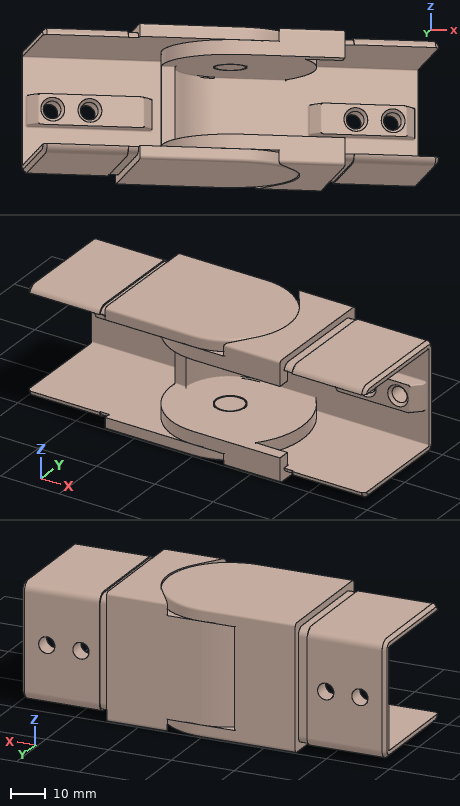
import cadquery as cq
import math

length = 116.0
block_size = 40.0
block_end = 30.0
block_fillet = 1.0
knuckle_radius = block_size / 2

sleeve_size = 36.8
sleeve_radius = 3.0
sleeve_end_chamfer = 1.0
neck_depth = 0.5
neck_length = 3.0

cavity_half = 16.0
corner_radius = 0.5

fork_half_gap = 11.7
fork_plate_reach = 24.9
fork_corner_radius = 0.3
fork_wall_angle = 4.4
relief_corner = 10.7

pin_radius = 4.9
pin_chamfer = 0.3
pin_embed = 2.1

boss_height = 4.1
boss_half_width = 4.5
boss_chamfer = 2.9
boss_patch_depth = 1.2
boss_fillet = 0.6
boss_edge_fillet = 0.5
boss_outer_end = 56.8
outer_boss_inner_end = 20.2
inner_boss_inner_end = 26.0
hole_diameter = 5.1
sink_diameter = 7.0
hole_places = (39.0, 49.9)

half_block = block_size / 2
half_length = length / 2
clear = block_size
boss_top = cavity_half - boss_height
pin_end = cavity_half + pin_embed


def box_between(x_min, x_max, y_min, y_max, z_min, z_max):
    """Box given by its limits along each axis."""
    size = (x_max - x_min, y_max - y_min, z_max - z_min)
    return cq.Workplane("XY").box(*size, centered=False).translate((x_min, y_min, z_min))


def disc(radius, half_height):
    """Cylinder on the hinge axis, centred on the mid plane."""
    return cq.Workplane("XY").circle(radius).extrude(half_height, both=True)


def mirror_x(shape):
    """Copy of a shape on the other side of the hinge axis."""
    return shape.mirror("YZ")


def sleeve():
    """Solid sleeve with its neck, on the +X side."""
    body_start = block_end + neck_length
    neck_size = sleeve_size - 2 * neck_depth
    body = (
        cq.Workplane("YZ", origin=(body_start, 0, 0))
        .rect(sleeve_size, sleeve_size)
        .extrude(half_length - body_start)
        .edges("|X")
        .fillet(sleeve_radius)
        .faces(">X")
        .chamfer(sleeve_end_chamfer)
    )
    neck = (
        cq.Workplane("YZ", origin=(block_end, 0, 0))
        .rect(neck_size, neck_size)
        .extrude(neck_length)
        .edges("|X")
        .fillet(sleeve_radius - neck_depth)
    )
    return body.union(neck)


def open_channel(x_min, x_max):
    """Cutting tool for a channel that is open towards -Y."""
    tool = box_between(x_min, x_max, -clear, cavity_half, -cavity_half, cavity_half)
    return tool.edges("|X and >Y").fillet(corner_radius)


def relief(z_min, z_max):
    """Cutting tool around the knuckle, widened along tangents that clear the swing."""
    tangent_angle = 2 * math.atan2(knuckle_radius, relief_corner) - math.pi / 2
    touch_x = knuckle_radius * math.cos(tangent_angle)
    touch_y = knuckle_radius * math.sin(tangent_angle)
    return (
        cq.Workplane("XY", origin=(0, 0, z_min))
        .moveTo(-clear, -half_block)
        .lineTo(relief_corner, -half_block)
        .lineTo(touch_x, -touch_y)
        .threePointArc((knuckle_radius, 0), (touch_x, touch_y))
        .lineTo(relief_corner, half_block)
        .lineTo(-clear, half_block)
        .close()
        .extrude(z_max - z_min)
    )


def boss(inner_end):
    """Screw boss on the back wall of the +X side, with a fillet around its foot."""
    margin = 2 * boss_fillet
    wall_patch = box_between(
        inner_end - margin, boss_outer_end + margin,
        cavity_half, cavity_half + boss_patch_depth,
        -boss_half_width - margin, boss_half_width + margin,
    )
    block = box_between(
        inner_end, boss_outer_end, boss_top, cavity_half, -boss_half_width, boss_half_width
    )
    block = block.edges("<Y and |Z").chamfer(boss_chamfer)
    block = block.edges("not (>Y or |X)").fillet(boss_edge_fillet)
    foot = cq.selectors.BoxSelector(
        (inner_end - boss_fillet, cavity_half - boss_fillet, -boss_half_width - boss_fillet),
        (boss_outer_end + boss_fillet, cavity_half + boss_fillet, boss_half_width + boss_fillet),
        boundingbox=True,
    )
    return wall_patch.union(block).edges(foot).fillet(boss_fillet)


def screw_holes():
    """Countersunk holes through the boss and the back wall of the +X side."""
    sink_depth = (sink_diameter - hole_diameter) / 2
    into_wall = cq.Vector(0, 1, 0)
    tools = cq.Workplane("XY")
    for x in hole_places:
        start = cq.Vector(x, boss_top, 0)
        drill = cq.Solid.makeCylinder(hole_diameter / 2, clear, start, into_wall)
        sink = cq.Solid.makeCone(sink_diameter / 2, hole_diameter / 2, sink_depth, start, into_wall)
        tools = tools.add(drill.fuse(sink))
    return tools.combine()


def pin_bores():
    """Cutting tool for both pin bores: through the fork plates and blind into the covers."""
    return disc(pin_radius, pin_end).cut(disc(pin_radius, fork_half_gap))


def outer_half():
    """Half on the -X side, with the two rounded cover plates."""
    block = (
        cq.Workplane("XY", origin=(0, 0, -half_block))
        .moveTo(0, half_block)
        .lineTo(-block_end, half_block)
        .lineTo(-block_end, -half_block)
        .lineTo(0, -half_block)
        .threePointArc((knuckle_radius, 0), (0, half_block))
        .close()
        .extrude(block_size)
        .faces("<Z or >Z")
        .edges("not <X")
        .fillet(block_fillet)
    )
    half = block.union(mirror_x(sleeve()))
    half = half.cut(open_channel(-length, length))
    half = half.cut(mirror_x(relief(-cavity_half, cavity_half)))
    half = half.union(mirror_x(boss(outer_boss_inner_end)))
    half = half.cut(mirror_x(screw_holes()))
    return half.cut(pin_bores())


def fork_opening():
    """Cutting tool between the fork plates, with rounded corners along the curved wall."""
    angle = math.radians(fork_wall_angle)
    wall_x = -cavity_half * math.cos(angle)
    wall_y = cavity_half * math.sin(angle)
    middle = cavity_half * math.sqrt(0.5)
    return (
        cq.Workplane("XY", origin=(0, 0, -fork_half_gap))
        .moveTo(-clear, clear * math.tan(angle))
        .lineTo(wall_x, wall_y)
        .threePointArc((-middle, middle), (0, cavity_half))
        .lineTo(clear, cavity_half)
        .lineTo(clear, -clear)
        .lineTo(-clear, -clear)
        .close()
        .extrude(2 * fork_half_gap)
        .faces("<Z or >Z")
        .fillet(fork_corner_radius)
    )


def inner_half():
    """Half on the +X side, with the forked knuckle between the cover plates."""
    block = box_between(0, block_end, -half_block, half_block, -half_block, half_block)
    block = block.edges("|X").fillet(block_fillet)
    block = block.cut(relief(cavity_half, half_block)).cut(relief(-half_block, -cavity_half))
    half = block.union(disc(knuckle_radius, cavity_half)).union(sleeve())

    room = box_between(0, length, -cavity_half, cavity_half, -cavity_half, cavity_half)
    room = room.edges("|X").fillet(corner_radius).cut(disc(fork_plate_reach, clear))
    half = half.cut(room).cut(open_channel(block_end, length)).cut(fork_opening())

    half = half.union(boss(inner_boss_inner_end)).cut(screw_holes())
    return half.cut(pin_bores())


def hinge_pin():
    """Upper pin, through the fork plate and into the cover plate."""
    return (
        cq.Workplane("XY", origin=(0, 0, fork_half_gap))
        .circle(pin_radius)
        .extrude(pin_end - fork_half_gap)
        .faces("<Z")
        .chamfer(pin_chamfer)
    )


def place_pin(side):
    """Pin above the mid plane for side 1, below it for side -1."""
    pin = hinge_pin()
    return pin if side > 0 else pin.mirror("XY")


outer = outer_half()
inner = inner_half()
pins = [place_pin(side).val() for side in (1, -1)]

result = cq.Compound.makeCompound([outer.val(), inner.val(), *pins])